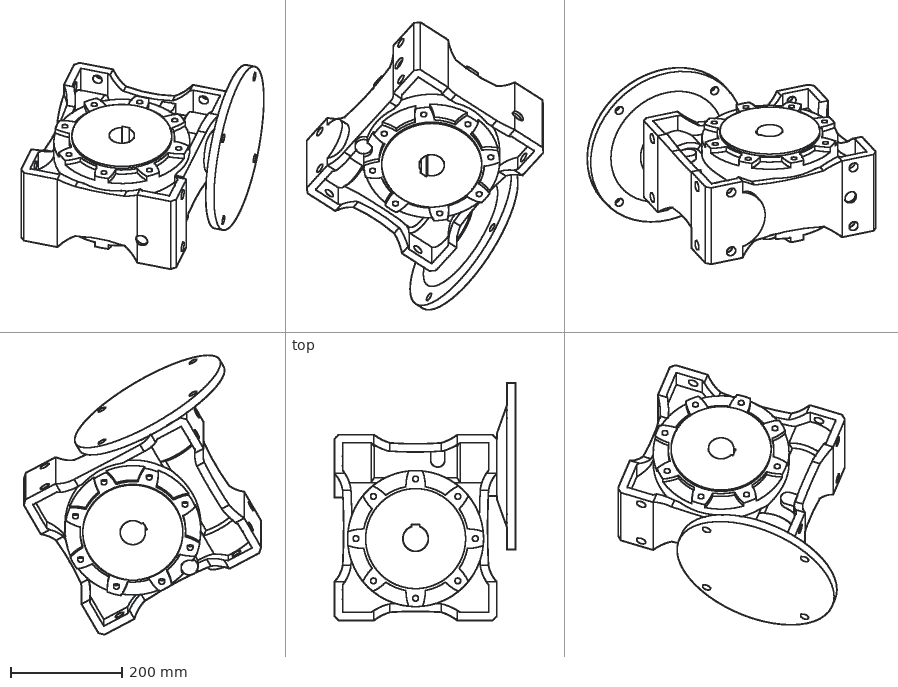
import cadquery as cq
import math

center_distance = 130.0

half_width = 146.0
front_reach = 147.5
back_reach = 187.2
half_height = 78.0
wall = 15.0
corner_chamfer = 8.0
floor_height = 38.5
mid_y = (back_reach - front_reach) / 2
frame_length = back_reach + front_reach

side_waist_outer = 97.5
side_waist_inner = 67.5
end_waist_outer = 75.2
end_waist_inner = 46.0
plan_depth = 15.0
plan_sag = 1.5
side_plan_radius = 36.5
end_plan_radius = 53.5
height_depth = 21.0
side_height_sag = 4.5
end_height_sag = 3.5
side_height_radius = 85.5
end_height_radius = 33.0

hub_radius = 122.3
hub_height = 71.5
lug_height = 81.0
lug_ring_radius = 95.0
lug_count = 8
lug_half_width = 17.5
lug_tip_half_width = 12.5
lug_bolt_radius = 107.5
lug_hole_radius = 5.0
lug_hole_depth = 21.5
drill_tip_angle = 118
cap_radius = 90.0
cap_height = 85.0
bore_radius = 22.5
key_width = 14.0
key_top = 25.2

tube_end_radius = 48.5
tube_mid_radius = 39.8
tube_end_start = 80.0
tube_mid_end = 75.0
trench_edge = 29.0
trench_slope_run = 39.0
trench_depth = 21.5
cover_boss_radius = 56.5
flange_boss_radius = 53.5
oil_pad_x = 39.8
oil_pad_y = 141.5
oil_pad_radius = 13.0
oil_pad_height = 51.5

drain_boss_x = -112.5
drain_boss_y = 54.5
drain_boss_radius = 15.5
drain_boss_height = 62.0
front_plug_x = 83.5
front_plug_z = -25.0
side_plug_y = -94.5
plug_radius = 11.0
plug_depth = 5.0

mount_radius = 8.5
mount_z = 60.0
mount_half_x = 100.0
mount_half_y = 120.0

flange_radius = 150.0
flange_face_x = 180.0
flange_thickness = 16.0
cone_small_radius = 60.0
cone_large_radius = 110.5
flange_hole_offset = 93.5
flange_hole_radius = 7.5


def waist_cutter(plane, outer, inner, depth, sag, radius, length):
    """Prism that lowers an edge lying on local y = 0: two hollow shoulder arcs and a shallow middle arc."""
    run = outer - inner
    chord = math.hypot(run, depth)
    bulge = radius - math.sqrt(radius**2 - (chord / 2) ** 2)
    mid_x = (outer + inner) / 2 - bulge * depth / chord
    mid_depth = depth / 2 + bulge * run / chord
    return (
        cq.Workplane(plane)
        .moveTo(-outer, 0)
        .threePointArc((-mid_x, -mid_depth), (-inner, -depth))
        .threePointArc((0, -depth - sag), (inner, -depth))
        .threePointArc((mid_x, -mid_depth), (outer, 0))
        .lineTo(outer, depth)
        .lineTo(-outer, depth)
        .close()
        .extrude(length, both=True)
    )


def cylinder_z(x, y, radius, z_from, z_to):
    return cq.Workplane("XY", origin=(x, y, z_from)).circle(radius).extrude(z_to - z_from)


def cylinder_x(y, z, radius, x_from, x_to):
    return cq.Workplane("YZ", origin=(x_from, y, z)).circle(radius).extrude(x_to - x_from)


def cylinder_y(x, z, radius, y_from, y_to):
    return cq.Workplane("XZ", origin=(x, y_from, z)).circle(radius).extrude(y_from - y_to)


def worm_trench():
    """Upper space around the worm, with a sloping side towards the hub."""
    edge_y = center_distance - trench_edge
    bottom_z = floor_height - trench_depth
    profile = [
        (edge_y, half_height),
        (edge_y, floor_height),
        (edge_y + trench_slope_run, bottom_z),
        (back_reach, bottom_z),
        (back_reach, half_height),
    ]
    return cq.Workplane("YZ").polyline(profile).close().extrude(half_width, both=True)


def cut_plan_waists(body):
    """Pinch all four walls in plan."""
    for side in (-1, 1):
        x_wall = cq.Plane((side * half_width, mid_y, 0), xDir=(0, 1, 0), normal=(0, 0, -side))
        body = body.cut(
            waist_cutter(
                x_wall, side_waist_outer, side_waist_inner, plan_depth, plan_sag, side_plan_radius, half_height
            )
        )
    for side, y in ((-1, -front_reach), (1, back_reach)):
        y_wall = cq.Plane((0, y, 0), xDir=(1, 0, 0), normal=(0, 0, side))
        body = body.cut(
            waist_cutter(
                y_wall, end_waist_outer, end_waist_inner, plan_depth, plan_sag, end_plan_radius, half_height
            )
        )
    return body


def cut_height_waists(body):
    """Lower the rims of all four walls, above and below."""
    for side in (-1, 1):
        across_x = cq.Plane((0, mid_y, side * half_height), xDir=(0, 1, 0), normal=(side, 0, 0))
        across_y = cq.Plane((0, mid_y, side * half_height), xDir=(1, 0, 0), normal=(0, -side, 0))
        body = body.cut(
            waist_cutter(
                across_x,
                side_waist_outer,
                side_waist_inner,
                height_depth,
                side_height_sag,
                side_height_radius,
                half_width,
            )
        )
        body = body.cut(
            waist_cutter(
                across_y,
                end_waist_outer,
                end_waist_inner,
                height_depth,
                end_height_sag,
                end_height_radius,
                frame_length,
            )
        )
    return body


def frame():
    """Rectangular frame with pinched, lowered walls, end bosses and a thick floor around the mid plane."""
    block = cq.Workplane("XY").box(2 * half_width, frame_length, 2 * half_height).translate((0, mid_y, 0))
    body = cut_plan_waists(block)

    pocket_depth = half_height - floor_height
    pocket = body.faces(">Z").wires().toPending().offset2D(-wall).extrude(-pocket_depth, combine=False)
    pocket = pocket.union(pocket.translate((0, 0, -trench_depth)).intersect(worm_trench()))

    boss_end = half_width - plan_depth - plan_sag
    body = body.union(cylinder_x(center_distance, 0, cover_boss_radius, -half_width, -boss_end))
    body = body.union(cylinder_x(center_distance, 0, flange_boss_radius, boss_end, half_width))

    body = body.cut(pocket).cut(pocket.mirror("XY"))
    body = cut_height_waists(body)
    return body.intersect(block.edges("|Z").chamfer(corner_chamfer))


def worm_tube():
    """Stepped tube for the worm, inside the frame along X."""
    inner_end = half_width - wall / 2
    profile = [
        (-inner_end, 0),
        (-inner_end, tube_end_radius),
        (-tube_end_start, tube_end_radius),
        (-tube_mid_end, tube_mid_radius),
        (tube_mid_end, tube_mid_radius),
        (tube_end_start, tube_end_radius),
        (inner_end, tube_end_radius),
        (inner_end, 0),
    ]
    tube = cq.Workplane("XY").polyline(profile).close().revolve(360, (0, 0, 0), (1, 0, 0))
    return tube.translate((0, center_distance, 0))


def lug():
    """Bolt lug reaching from the hub shoulder out to the hub rim, along +X, with tapering round sides."""
    root_x = math.sqrt(lug_ring_radius**2 - lug_half_width**2)
    run = hub_radius - root_x
    taper = lug_half_width - lug_tip_half_width
    arc_radius = (run**2 + taper**2) / (2 * taper)
    half_angle = math.asin(run / arc_radius) / 2
    arc_x = root_x + arc_radius * math.sin(half_angle)
    arc_y = lug_half_width - arc_radius * (1 - math.cos(half_angle))
    return (
        cq.Workplane("XY", origin=(0, 0, hub_height))
        .moveTo(root_x, -lug_half_width)
        .threePointArc((arc_x, -arc_y), (hub_radius, -lug_tip_half_width))
        .lineTo(hub_radius, lug_tip_half_width)
        .threePointArc((arc_x, arc_y), (root_x, lug_half_width))
        .close()
        .extrude(lug_height - hub_height)
    )


def lug_hole():
    """Blind hole with a drill-tip bottom in the lug along +X."""
    tip_depth = lug_hole_radius / math.tan(math.radians(drill_tip_angle / 2))
    profile = [
        (0, 0),
        (lug_hole_radius, 0),
        (lug_hole_radius, -lug_hole_depth),
        (0, -lug_hole_depth - tip_depth),
    ]
    hole = cq.Workplane("XZ").polyline(profile).close().revolve(360, (0, 0, 0), (0, 1, 0))
    return hole.translate((lug_bolt_radius, 0, lug_height))


def hub_half():
    """Upper half of the output hub: ring with bolt lugs left between recesses, and a cap."""
    angles = [i * 360 / lug_count for i in range(lug_count)]
    recess = cylinder_z(0, 0, hub_radius, hub_height, lug_height)
    recess = recess.cut(cylinder_z(0, 0, lug_ring_radius, hub_height, lug_height))
    for angle in angles:
        recess = recess.cut(lug().rotate((0, 0, 0), (0, 0, 1), angle))

    hub = cylinder_z(0, 0, hub_radius, 0, lug_height).cut(recess)
    for angle in angles:
        hub = hub.cut(lug_hole().rotate((0, 0, 0), (0, 0, 1), angle))
    return hub.union(cylinder_z(0, 0, cap_radius, 0, cap_height))


def output_bore():
    """Through bore with its keyway on the +Y side."""
    keyway = cq.Workplane("XY").box(key_width, key_top, 2 * cap_height).translate((0, key_top / 2, 0))
    return cylinder_z(0, 0, bore_radius, -cap_height, cap_height).union(keyway)


def oil_pad():
    """Flat pad with a rounded end, from the +Y wall over the worm tube."""
    wall_y = back_reach - plan_depth - wall
    block_length = wall_y - oil_pad_y
    block = cq.Workplane("XY").box(
        2 * oil_pad_radius, block_length, oil_pad_height, centered=(True, False, False)
    )
    pad = cylinder_z(oil_pad_x, oil_pad_y, oil_pad_radius, 0, oil_pad_height)
    return pad.union(block.translate((oil_pad_x, oil_pad_y, 0)))


def mounting_holes():
    """Holes through the X walls, except behind the flange, and through the +Y wall."""
    holes = cq.Workplane("XY")
    for z in (-mount_z, mount_z):
        for y in (mid_y - mount_half_y, mid_y + mount_half_y):
            holes = holes.union(cylinder_x(y, z, mount_radius, -half_width, wall - half_width))
        holes = holes.union(cylinder_x(mid_y - mount_half_y, z, mount_radius, half_width - wall, half_width))
        for x in (-mount_half_x, mount_half_x):
            holes = holes.union(cylinder_y(x, z, mount_radius, back_reach - wall, back_reach))
    return holes


def make_housing():
    body = frame().union(worm_tube()).union(oil_pad())

    upper_hub = hub_half()
    lower_hub = upper_hub.mirror("XY")

    clearance = cylinder_z(drain_boss_x, drain_boss_y, drain_boss_radius, -lug_height, -drain_boss_height)
    drain_boss = cylinder_z(drain_boss_x, drain_boss_y, drain_boss_radius, -drain_boss_height, -floor_height)
    body = body.union(upper_hub).union(lower_hub.cut(clearance)).union(drain_boss)

    body = body.cut(cylinder_y(front_plug_x, front_plug_z, plug_radius, -front_reach, plug_depth - front_reach))
    body = body.cut(cylinder_x(side_plug_y, 0, plug_radius, -half_width, plug_depth - half_width))

    return body.cut(mounting_holes()).cut(output_bore())


def make_input_flange():
    """Round flange with a conical neck against the +X wall, on the worm axis."""
    disc_x = flange_face_x - flange_thickness
    profile = [
        (half_width, 0),
        (half_width, cone_small_radius),
        (disc_x, cone_large_radius),
        (disc_x, flange_radius),
        (flange_face_x, flange_radius),
        (flange_face_x, 0),
    ]
    flange = cq.Workplane("XY").polyline(profile).close().revolve(360, (0, 0, 0), (1, 0, 0))
    for y in (-flange_hole_offset, flange_hole_offset):
        for z in (-flange_hole_offset, flange_hole_offset):
            flange = flange.cut(cylinder_x(y, z, flange_hole_radius, disc_x, flange_face_x))
    return flange.translate((0, center_distance, 0))


housing = make_housing()
input_flange = make_input_flange()

result = cq.Compound.makeCompound([housing.val(), input_flange.val()])